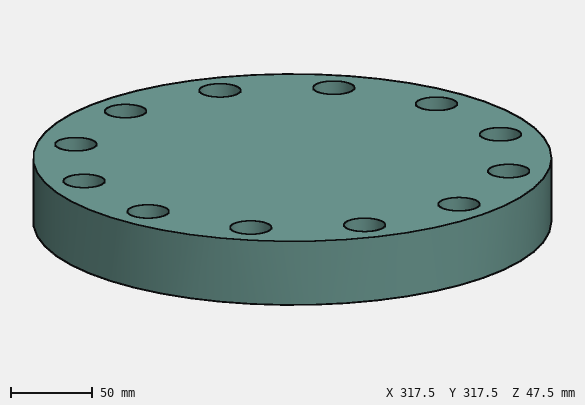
import cadquery as cq

flange_diameter = 317.5
total_height = 47.5
raised_face_height = 6.5
raised_face_diameter = 215.8
bolt_circle_diameter = 269.8
bolt_hole_diameter = 25.5
bolt_hole_count = 12

flange_thickness = total_height - raised_face_height


def flange_disc():
    """Main disc, with its underside on the plane Z = 0."""
    return cq.Workplane("XY").circle(flange_diameter / 2).extrude(flange_thickness)


def raised_face():
    """Shallow sealing face below the disc."""
    return cq.Workplane("XY").circle(raised_face_diameter / 2).extrude(-raised_face_height)


def bolt_holes():
    """Evenly spaced through-hole cutters, the first one on the +X axis."""
    return (
        cq.Workplane("XY")
        .polarArray(bolt_circle_diameter / 2, 0, 360, bolt_hole_count)
        .circle(bolt_hole_diameter / 2)
        .extrude(flange_thickness)
    )


result = flange_disc().union(raised_face()).cut(bolt_holes())